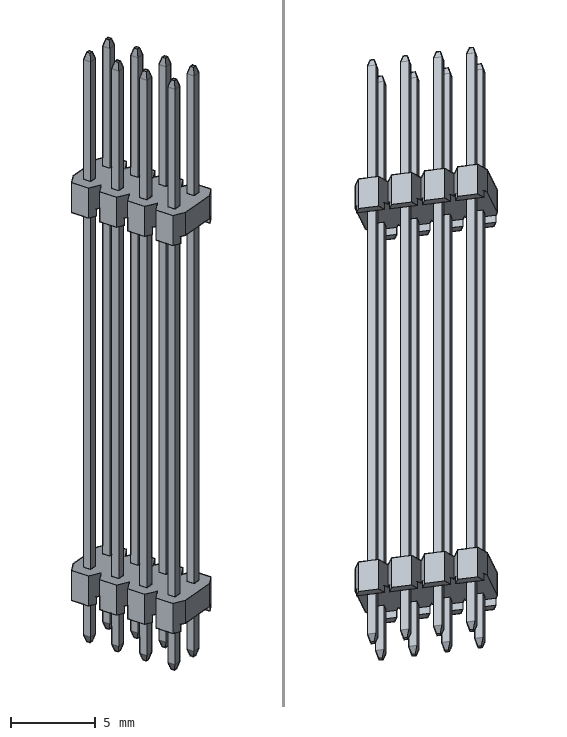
import cadquery as cq

columns = 4
rows = 2
body_length = 8.0
body_width = 4.0
column_pitch = body_length / columns
row_pitch = body_width / rows

body_height = 2.0
foot_height = 0.47
foot_width = 0.47
corner_run = 0.4
corner_depth = 0.75
lower_body_bottom = 3.0
body_spacing = 26.0

pin_length = 39.5
pin_width = 0.5
tip_width = 0.25
tip_height = 0.47


def body_outline():
    """Outline with bevelled corners and a V groove between neighbouring columns."""
    half_width = body_width / 2
    near_side = []
    for column in range(columns):
        left = column * column_pitch - body_length / 2
        right = left + column_pitch
        near_side.append((left, corner_depth - half_width))
        near_side.append((left + corner_run, -half_width))
        near_side.append((right - corner_run, -half_width))
    near_side.append((body_length / 2, corner_depth - half_width))
    far_side = [(x, -y) for x, y in reversed(near_side)]
    return near_side + far_side


def make_body(bottom):
    """Insulator with a channel underneath that leaves feet along both long sides."""
    block = (
        cq.Workplane("XY", origin=(0, 0, bottom))
        .polyline(body_outline())
        .close()
        .extrude(body_height)
    )
    channel = cq.Workplane("XY", origin=(0, 0, bottom)).box(
        body_length, body_width - 2 * foot_width, foot_height, centered=(True, True, False)
    )
    return block.cut(channel)


def make_pin(x, y):
    """Square pin with a tapered tip at each end."""
    shank_top = pin_length - tip_height
    shank = (
        cq.Workplane("XY", origin=(x, y, tip_height))
        .rect(pin_width, pin_width)
        .extrude(shank_top - tip_height)
    )
    upper_tip = (
        cq.Workplane("XY", origin=(x, y, shank_top))
        .rect(pin_width, pin_width)
        .workplane(offset=tip_height)
        .rect(tip_width, tip_width)
        .loft(ruled=True)
    )
    lower_tip = upper_tip.mirror("XY", (0, 0, pin_length / 2))
    return shank.union(upper_tip).union(lower_tip)


result = make_body(lower_body_bottom).union(make_body(lower_body_bottom + body_spacing))

for column in range(columns):
    for row in range(rows):
        pin_x = (column - (columns - 1) / 2) * column_pitch
        pin_y = (row - (rows - 1) / 2) * row_pitch
        result = result.union(make_pin(pin_x, pin_y))